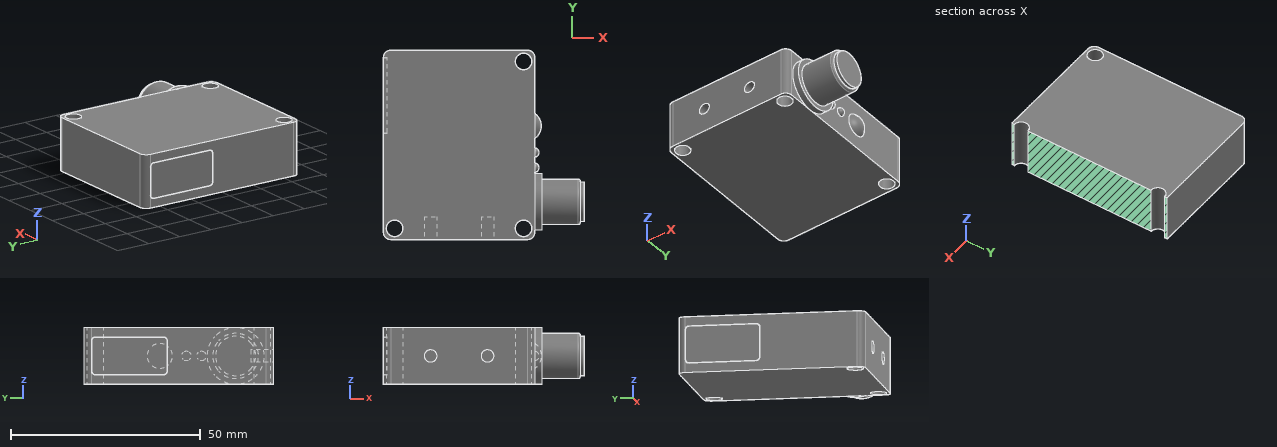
import cadquery as cq
import math

HOUSING_LENGTH = 40.0
HOUSING_DEPTH = 50.0
HOUSING_HEIGHT = 15.0
CORNER_RADIUS = 2.0
MID_HEIGHT = HOUSING_HEIGHT / 2

MOUNT_HOLE_DIAMETER = 4.3
MOUNT_HOLE_INSET = 3.0

FRONT_HOLE_DIAMETER = 3.3
FRONT_HOLE_COUNT = 2
FRONT_HOLE_SPACING = 15.0
FIRST_FRONT_HOLE_X = 12.5
FRONT_HOLE_DEPTH = 6.0

WINDOW_WIDTH = 20.0
WINDOW_HEIGHT = 10.0
WINDOW_CORNER_RADIUS = 1.0
WINDOW_THICKNESS = 1.0
WINDOW_CLEARANCE = 0.1
WINDOW_CENTER_Y = HOUSING_DEPTH - CORNER_RADIUS - WINDOW_WIDTH / 2

CONNECTOR_Y = 10.0
FLANGE_DIAMETER = HOUSING_HEIGHT
FLANGE_THICKNESS = 1.9
BARREL_DIAMETER = 12.0
BARREL_END = 12.0
BARREL_ROUNDING = 0.6
TIP_DIAMETER = 10.5
CONNECTOR_LENGTH = 13.0

BUTTON_Y = 30.0
BUTTON_DIAMETER = 6.6
BUTTON_RISE = 1.7
LIGHT_POSITIONS_Y = (19.0, 23.0)
LIGHT_DIAMETER = 2.5
LIGHT_RISE = 1.1


def right_face_plane(y):
    """Plane on the right face at mid height, with its normal along +X."""
    return cq.Plane(origin=(HOUSING_LENGTH, y, MID_HEIGHT), xDir=(0, 1, 0), normal=(1, 0, 0))


def window_block(gap):
    """Rounded block sunk into the left face, smaller than the window pocket by the gap on each side."""
    return (
        cq.Workplane("YZ", origin=(0, WINDOW_CENTER_Y, MID_HEIGHT))
        .rect(WINDOW_WIDTH - 2 * gap, WINDOW_HEIGHT - 2 * gap)
        .extrude(WINDOW_THICKNESS)
        .edges("|X")
        .fillet(WINDOW_CORNER_RADIUS - gap)
    )


def make_housing():
    body = (
        cq.Workplane("XY")
        .box(HOUSING_LENGTH, HOUSING_DEPTH, HOUSING_HEIGHT, centered=False)
        .edges("|Z")
        .fillet(CORNER_RADIUS)
    )
    right_hole_x = HOUSING_LENGTH - MOUNT_HOLE_INSET
    back_hole_y = HOUSING_DEPTH - MOUNT_HOLE_INSET
    mount_holes = (
        cq.Workplane("XY")
        .pushPoints([
            (MOUNT_HOLE_INSET, MOUNT_HOLE_INSET),
            (right_hole_x, MOUNT_HOLE_INSET),
            (right_hole_x, back_hole_y),
        ])
        .circle(MOUNT_HOLE_DIAMETER / 2)
        .extrude(HOUSING_HEIGHT)
    )
    front_hole_points = [
        (FIRST_FRONT_HOLE_X + i * FRONT_HOLE_SPACING, MID_HEIGHT) for i in range(FRONT_HOLE_COUNT)
    ]
    front_holes = (
        cq.Workplane("XZ")
        .pushPoints(front_hole_points)
        .circle(FRONT_HOLE_DIAMETER / 2)
        .extrude(-FRONT_HOLE_DEPTH)
    )
    window_pocket = window_block(gap=0)
    return body.cut(mount_holes).cut(front_holes).cut(window_pocket)


def make_connector():
    """Flange, barrel with a rounded end, and a narrower tip."""
    barrel = (
        cq.Workplane(right_face_plane(CONNECTOR_Y))
        .circle(BARREL_DIAMETER / 2)
        .extrude(BARREL_END)
        .faces(">X")
        .edges()
        .fillet(BARREL_ROUNDING)
    )
    flange = cq.Workplane(right_face_plane(CONNECTOR_Y)).circle(FLANGE_DIAMETER / 2).extrude(FLANGE_THICKNESS)
    tip = cq.Workplane(right_face_plane(CONNECTOR_Y)).circle(TIP_DIAMETER / 2).extrude(CONNECTOR_LENGTH)
    return barrel.union(flange).union(tip)


def make_dome(y, diameter, rise):
    """Spherical cap standing on the right face."""
    radius = diameter / 2
    sphere_radius = (radius**2 + rise**2) / (2 * rise)
    half_angle = math.asin(radius / sphere_radius) / 2
    sphere_center = rise - sphere_radius
    arc_middle = (
        sphere_center + sphere_radius * math.cos(half_angle),
        sphere_radius * math.sin(half_angle),
    )
    return (
        cq.Workplane("XY", origin=(HOUSING_LENGTH, y, MID_HEIGHT))
        .lineTo(0, radius)
        .threePointArc(arc_middle, (rise, 0))
        .close()
        .revolve(360, (0, 0, 0), (1, 0, 0))
    )


housing = make_housing()
window = window_block(WINDOW_CLEARANCE)
connector = make_connector()
button = make_dome(BUTTON_Y, BUTTON_DIAMETER, BUTTON_RISE)
lights = [make_dome(y, LIGHT_DIAMETER, LIGHT_RISE) for y in LIGHT_POSITIONS_Y]

result = cq.Compound.makeCompound([
    housing.val(),
    window.val(),
    connector.val(),
    button.val(),
    *[light.val() for light in lights],
])